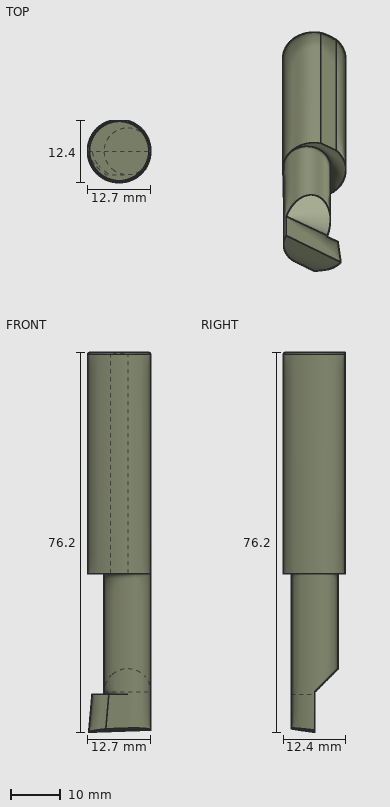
import cadquery as cq
import math

overall_length = 76.19

shank_diameter = 12.7
shank_length = 44.45
shank_chamfer = 0.4
clamp_flat_depth = 0.25

neck_diameter = 9.4
relief_angle = 45
relief_end_height = 8.1

head_height = 7.62
head_lean_angle = 5
tip_reach = 6.1
nose_width = 1.87
nose_depth = 3.44
heel_width = 1.5

end_relief_angle = 7
end_tilt_angle = 2

shank_radius = shank_diameter / 2
neck_radius = neck_diameter / 2
neck_offset = shank_radius - neck_radius
shank_bottom = overall_length - shank_length


def tangent(angle):
    return math.tan(math.radians(angle))


def make_shank():
    shank = (
        cq.Workplane("XY", origin=(0, 0, shank_bottom))
        .circle(shank_radius)
        .extrude(shank_length)
        .faces(">Z")
        .chamfer(shank_chamfer)
    )
    flat_cut = (
        cq.Workplane("XY", origin=(0, shank_radius - clamp_flat_depth, shank_bottom))
        .box(shank_diameter, shank_radius, shank_length, centered=(True, False, False))
    )
    return shank.cut(flat_cut)


def make_neck():
    neck = (
        cq.Workplane("XY", origin=(neck_offset, 0, 0))
        .circle(neck_radius)
        .extrude(shank_bottom)
    )
    relief_outer_height = relief_end_height + neck_diameter * tangent(relief_angle)
    half_cut = (
        cq.Workplane("YZ")
        .lineTo(0, relief_end_height)
        .lineTo(neck_diameter, relief_outer_height)
        .lineTo(neck_diameter, 0)
        .close()
        .extrude(shank_diameter, both=True)
    )
    return neck.cut(half_cut)


def make_head():
    tip_x = -tip_reach
    nose_end_x = tip_x + nose_width
    heel_end_x = nose_end_x + heel_width
    profile = (
        cq.Workplane("XY")
        .moveTo(neck_offset, 0)
        .lineTo(neck_offset, -neck_radius)
        .lineTo(heel_end_x, -neck_radius)
        .lineTo(nose_end_x, -nose_depth)
        .tangentArcPoint((tip_x, 0), relative=False)
        .close()
    )
    lean = cq.Vector(head_height * tangent(head_lean_angle), 0, head_height)
    leaning_prism = cq.Workplane(cq.Solid.extrudeLinear(profile.val(), [], lean))
    beyond_tangent_line = (
        cq.Workplane("XY", origin=(neck_offset, 0, 0))
        .box(shank_diameter, 2 * shank_diameter, head_height, centered=(False, True, False))
    )
    return leaning_prism.cut(beyond_tangent_line)


def make_end_cut():
    """Block below the sloping plane through the tip."""
    size = 4 * shank_diameter
    return (
        cq.Workplane("XY")
        .box(size, size, size, centered=(True, True, False))
        .translate((0, 0, -size))
        .rotate((0, 0, 0), (1, 0, 0), -end_relief_angle)
        .rotate((0, 0, 0), (0, 1, 0), -end_tilt_angle)
        .translate((-tip_reach, 0, 0))
    )


result = make_shank().union(make_neck()).union(make_head()).cut(make_end_cut())